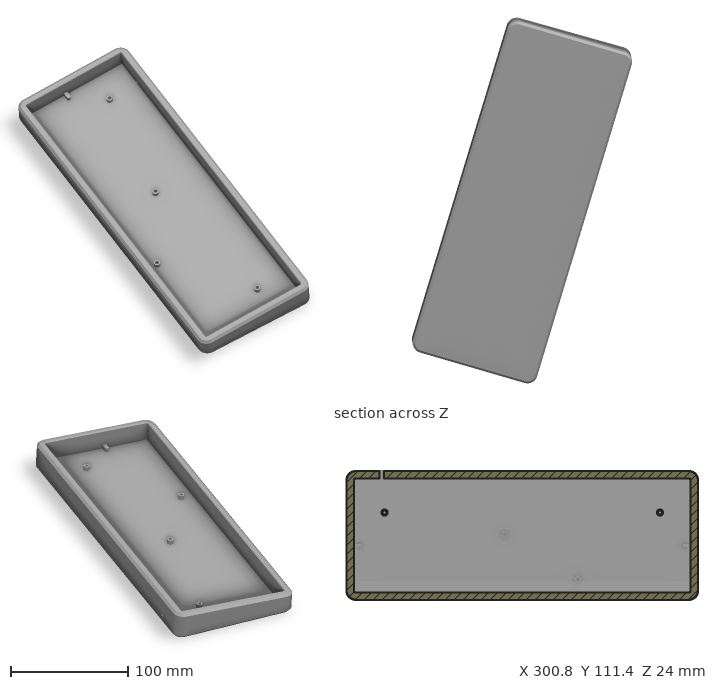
import cadquery as cq
import math

length = 300.8
depth = 110.5
height = 24.0
tilt = 3.0
corner_radius = 8.7
edge_chamfer = 2.0
wall = 7.0
cavity_depth = 17.5
cavity_corner_radius = 1.0
inner_edge_chamfer = 0.5
flat_floor = 1.8
rim_shift = -0.5

post_diameter = 5.5
post_hole = 3.3
post_height = 3.5
post_side_x = 117.5
post_places = [(-post_side_x, 19.5), (post_side_x, 19.5), (-14.7, 0.5), (47.8, -37.5)]

tab_width = 3.3
tab_reach = 6.5
tab_height = 3.5
tab_y = -8.7

wall_hole_diameter = 3.3
wall_hole_x = -120.0
wall_hole_lift = 1.2

tilt_sin = math.sin(math.radians(tilt))
tilt_cos = math.cos(math.radians(tilt))
rim_z = height - (depth / 2 - edge_chamfer) * tilt_sin
inner_end_x = length / 2 - wall
wall_corners = cq.selectors.ParallelDirSelector(cq.Vector(0, -tilt_sin, tilt_cos))


def tilted_plane(below_rim):
    """Plane parallel to the rim and the given distance beneath it."""
    origin = (0, rim_shift + below_rim * tilt_sin, rim_z - below_rim * tilt_cos)
    return cq.Plane(origin=origin, xDir=(1, 0, 0), normal=(0, -tilt_sin, tilt_cos))


def space_above(z):
    """Large block filling everything above a horizontal level."""
    size = 2 * length
    return cq.Workplane("XY").workplane(offset=z).rect(size, size).extrude(size)


def make_body():
    block = cq.Workplane(tilted_plane(0)).rect(length, depth).extrude(-2 * height)
    block = block.edges(wall_corners).fillet(corner_radius)
    block = block.intersect(space_above(0))
    return block.faces("<Z").edges().chamfer(edge_chamfer).faces(">Z").edges().chamfer(edge_chamfer)


def make_cavity():
    cavity = (
        cq.Workplane(tilted_plane(0))
        .rect(length - 2 * wall, depth - 2 * wall)
        .extrude(-cavity_depth)
    )
    cavity = cavity.edges(wall_corners).fillet(cavity_corner_radius)
    return cavity.intersect(space_above(flat_floor))


def make_mouth_chamfer():
    """Flared mouth that bevels the inner edge of the rim."""
    rim_width = wall - inner_edge_chamfer
    return (
        cq.Workplane(tilted_plane(0))
        .sketch()
        .rect(length - 2 * rim_width, depth - 2 * rim_width)
        .vertices()
        .fillet(cavity_corner_radius + inner_edge_chamfer)
        .finalize()
        .extrude(-inner_edge_chamfer, taper=45)
    )


def make_post(place):
    root = flat_floor / 2
    return (
        cq.Workplane(tilted_plane(cavity_depth + root))
        .center(*place)
        .circle(post_diameter / 2)
        .extrude(root + post_height)
    )


def make_post_hole(place):
    return (
        cq.Workplane(tilted_plane(cavity_depth))
        .center(*place)
        .circle(post_hole / 2)
        .extrude(post_height)
    )


def make_tab(side):
    tab_length = tab_reach + tab_width
    tab_x = inner_end_x + tab_width - tab_length / 2
    return (
        cq.Workplane(tilted_plane(cavity_depth))
        .center(side * tab_x, tab_y)
        .slot2D(tab_length, tab_width)
        .extrude(tab_height)
    )


def make_wall_hole():
    axis_plane = tilted_plane(cavity_depth - wall_hole_lift)
    start = axis_plane.toWorldCoords((wall_hole_x, depth / 2 - wall, 0))
    hole_plane = cq.Plane(origin=start, xDir=(1, 0, 0), normal=axis_plane.yDir)
    return cq.Workplane(hole_plane).circle(wall_hole_diameter / 2).extrude(2 * wall)


result = make_body().cut(make_cavity()).cut(make_mouth_chamfer()).cut(make_wall_hole())
for post_place in post_places:
    result = result.union(make_post(post_place)).cut(make_post_hole(post_place))
for end_side in (-1, 1):
    result = result.union(make_tab(end_side))